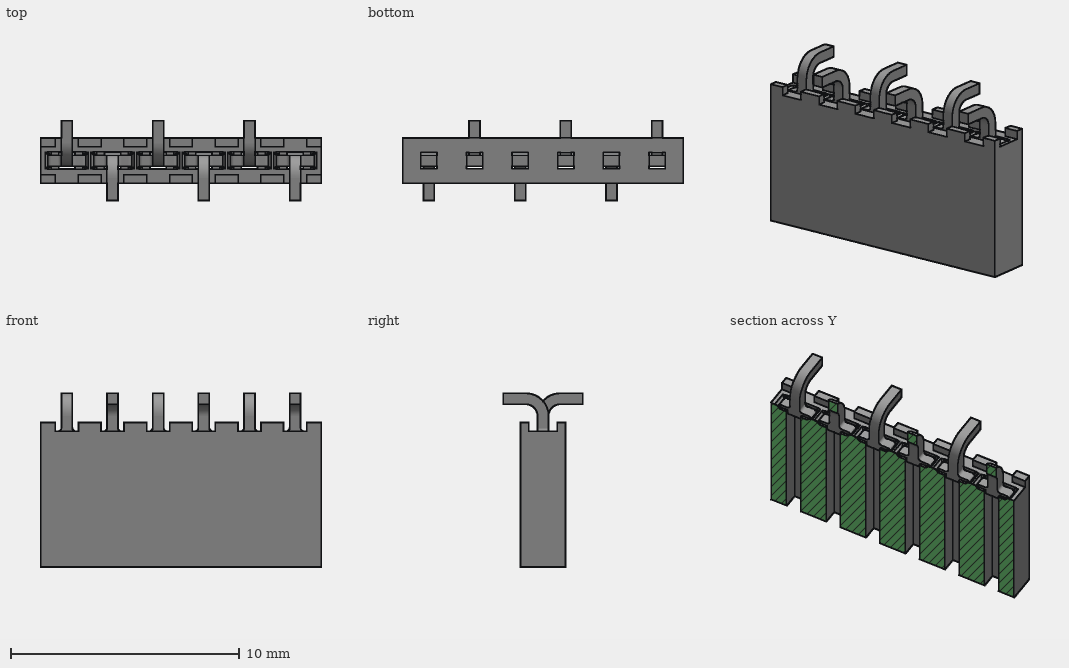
import cadquery as cq

LENGTH = 12.3
CONTACT_COUNT = 6
END_MARGIN = 0.15
PITCH = (LENGTH - 2 * END_MARGIN) / CONTACT_COUNT
HEIGHT = 7.63
TIP_SPREAD = 3.5

HOUSING_DEPTH = 1.99
HOUSING_TOP = 6.35
TOOTH_HEIGHT = 0.38
TOOTH_THICKNESS = 0.38
NOTCH_WIDTH = PITCH / 2
DECK = HOUSING_TOP - TOOTH_HEIGHT

POCKET_LENGTH = 1.67
POCKET_WIDTH = 0.77
POCKET_DEPTH = 0.16
RAMP_RUN = 0.15
LEAD_IN_LENGTH = 1.9
LEAD_IN_WIDTH = 0.73
PIN_HOLE = 0.7

LEAD_SIZE = 0.49
BEND_OUTER_RADIUS = PITCH / 2
BEND_INNER_RADIUS = BEND_OUTER_RADIUS - LEAD_SIZE
SHOULDER_LENGTH = POCKET_LENGTH
SHOULDER_TOP = DECK - 0.01
SHOULDER_HEIGHT = 0.37
SHOULDER_BASE = SHOULDER_TOP - SHOULDER_HEIGHT
SHOULDER_RADIUS = 0.15


def make_housing():
    body = cq.Workplane("XY").box(LENGTH, HOUSING_DEPTH, HOUSING_TOP, centered=(True, True, False))
    channel = cq.Workplane("XY", origin=(0, 0, DECK)).box(
        LENGTH, HOUSING_DEPTH - 2 * TOOTH_THICKNESS, TOOTH_HEIGHT, centered=(True, True, False)
    )
    return body.cut(channel)


def make_notch():
    """Gap between neighbouring teeth, running through both rows."""
    return cq.Workplane("XY", origin=(0, 0, DECK)).box(
        NOTCH_WIDTH, HOUSING_DEPTH, TOOTH_HEIGHT, centered=(True, True, False)
    )


def make_pocket():
    """Ramped pocket, its tapered lead-in and the pin hole through the housing."""
    half_top = POCKET_LENGTH / 2
    half_floor = half_top - RAMP_RUN
    ramped = (
        cq.Workplane("XZ", origin=(0, POCKET_WIDTH / 2, 0))
        .moveTo(-half_top, DECK)
        .lineTo(half_top, DECK)
        .lineTo(half_floor, DECK - POCKET_DEPTH)
        .lineTo(-half_floor, DECK - POCKET_DEPTH)
        .close()
        .extrude(POCKET_WIDTH)
    )
    lead_in = (
        cq.Workplane("XY", origin=(0, 0, DECK))
        .rect(LEAD_IN_LENGTH, LEAD_IN_WIDTH)
        .workplane(offset=-POCKET_DEPTH)
        .rect(LEAD_IN_LENGTH - 2 * RAMP_RUN, LEAD_IN_WIDTH - 2 * RAMP_RUN)
        .loft()
    )
    pin_hole = cq.Workplane("XY").rect(PIN_HOLE, PIN_HOLE).extrude(DECK)
    return ramped.union(lead_in).union(pin_hole)


def make_contact():
    """Contact whose lead rises from a shoulder and bends towards +Y."""
    half_lead = LEAD_SIZE / 2
    half_shoulder = SHOULDER_LENGTH / 2
    bend_start = HEIGHT - BEND_OUTER_RADIUS
    root = half_lead + SHOULDER_RADIUS
    bend_end = BEND_OUTER_RADIUS - half_lead

    shoulder = (
        cq.Workplane("XZ", origin=(0, half_lead, 0))
        .moveTo(-half_shoulder, SHOULDER_BASE)
        .lineTo(-half_shoulder, SHOULDER_TOP - SHOULDER_RADIUS)
        .radiusArc((-half_shoulder + SHOULDER_RADIUS, SHOULDER_TOP), SHOULDER_RADIUS)
        .lineTo(-root, SHOULDER_TOP)
        .radiusArc((-half_lead, SHOULDER_TOP + SHOULDER_RADIUS), -SHOULDER_RADIUS)
        .lineTo(half_lead, SHOULDER_TOP + SHOULDER_RADIUS)
        .radiusArc((root, SHOULDER_TOP), -SHOULDER_RADIUS)
        .lineTo(half_shoulder - SHOULDER_RADIUS, SHOULDER_TOP)
        .radiusArc((half_shoulder, SHOULDER_TOP - SHOULDER_RADIUS), SHOULDER_RADIUS)
        .lineTo(half_shoulder, SHOULDER_BASE)
        .close()
        .extrude(LEAD_SIZE)
    )
    lead = (
        cq.Workplane("YZ", origin=(-half_lead, 0, 0))
        .moveTo(-half_lead, SHOULDER_BASE)
        .lineTo(-half_lead, bend_start)
        .radiusArc((bend_end, HEIGHT), BEND_OUTER_RADIUS)
        .lineTo(TIP_SPREAD / 2, HEIGHT)
        .lineTo(TIP_SPREAD / 2, HEIGHT - LEAD_SIZE)
        .lineTo(bend_end, HEIGHT - LEAD_SIZE)
        .radiusArc((half_lead, bend_start), -BEND_INNER_RADIUS)
        .lineTo(half_lead, SHOULDER_BASE)
        .close()
        .extrude(LEAD_SIZE)
    )
    return shoulder.union(lead)


notch = make_notch()
pocket = make_pocket()
rear_contact = make_contact()
front_contact = rear_contact.rotate((0, 0, 0), (0, 0, 1), 180)

result = make_housing()
for index in range(CONTACT_COUNT):
    station = ((index - (CONTACT_COUNT - 1) / 2) * PITCH, 0, 0)
    contact = rear_contact if index % 2 == 0 else front_contact
    result = result.cut(notch.translate(station)).cut(pocket.translate(station))
    result = result.union(contact.translate(station))